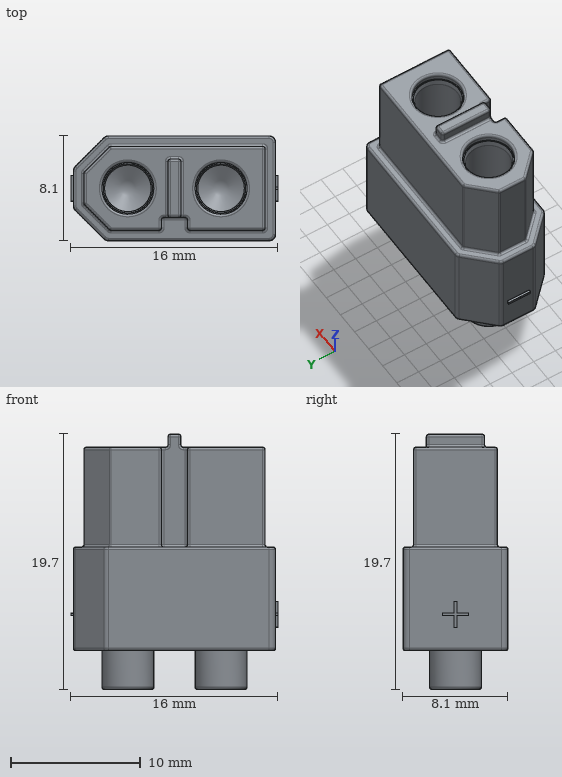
import cadquery as cq
import math


pin_length = 3.0
body_height = 8.0
tower_height = 7.7
key_height = 1.0

body_bottom = pin_length
body_top = body_bottom + body_height
tower_top = body_top + tower_height

body_length = 15.6
body_width = 8.1
body_chamfer = 2.5
body_corner_radius = 0.5
step_width = 0.8

tower_length = body_length - 2 * step_width
tower_width = body_width - 2 * step_width
tower_chamfer = body_chamfer - step_width * (2 - math.sqrt(2))

edge_radius = 0.2

notch_width = 2.0
notch_depth = 0.98
key_width = 1.0
key_front = -tower_width / 2 + notch_depth
key_back = -key_front

contact_spacing = 7.2
pin_diameter = 4.02
pin_embedment = 0.2
socket_diameter = 4.0
sleeve_recess = 0.51
sleeve_mouth_diameter = 3.8
sleeve_bore_diameter = 3.59
sleeve_taper_depth = 0.4
bore_bottom = body_top
drill_point_angle = 130

mark_length = 2.0
mark_stroke = 0.2
mark_relief = 0.2
mark_height = 5.8

contact_points = [(-contact_spacing / 2, 0), (contact_spacing / 2, 0)]


def cut_corner_block(length, width, chamfer, bottom, height):
    """Block with its two -X corners cut at 45 degrees."""
    return (
        cq.Workplane("XY", origin=(0, 0, bottom))
        .rect(length, width)
        .extrude(height)
        .edges("|Z and <X")
        .chamfer(chamfer)
    )


def near(x_min, x_max, y_min, y_max, z):
    """Selector for edges centred inside a thin horizontal slab at height z."""
    slack = 0.02
    return cq.selectors.BoxSelector(
        (x_min - slack, y_min - slack, z - slack),
        (x_max + slack, y_max + slack, z + slack),
    )


def make_body():
    body = cut_corner_block(body_length, body_width, body_chamfer, body_bottom, body_height)
    body = body.edges("|Z").fillet(body_corner_radius)
    return body.faces("<Z or >Z").edges().fillet(edge_radius)


def make_tower():
    """Plug tower with a notch in its -Y wall; the top edges are rounded later with the key."""
    notch = cq.Workplane("XY", origin=(0, -tower_width / 2, body_top)).box(
        notch_width, 2 * notch_depth, tower_height, centered=(True, True, False)
    )
    tower = cut_corner_block(tower_length, tower_width, tower_chamfer, body_top, tower_height).cut(notch)
    return tower.edges("|Z").fillet(edge_radius)


def add_key(tower):
    """Add the rib on top of the tower, flush with the back wall of the notch."""
    rib = (
        cq.Workplane("XY", origin=(0, 0, tower_top))
        .box(key_width, key_back - key_front, key_height, centered=(True, True, False))
        .edges("|Z and >Y")
        .fillet(edge_radius)
    )
    keyed = tower.union(rib)
    half_key = key_width / 2
    foot = near(-half_key, half_key, key_front + edge_radius, key_back, tower_top)
    return keyed.edges(foot).fillet(edge_radius)


def round_tower_top(tower):
    """Round the key's top and, by one edge of its tangent chain, the tower's whole top outline."""
    rim_edge = near(tower_length / 2, tower_length / 2, 0, 0, tower_top)
    return tower.faces(">Z").edges().add(tower.edges(rim_edge)).fillet(edge_radius)


def round_tower_foot(housing):
    """Blend the tower into the shoulder of the body."""
    half_length = tower_length / 2
    half_width = tower_width / 2
    foot = near(-half_length, half_length, -half_width, half_width, body_top)
    return housing.edges(foot).fillet(edge_radius)


def make_pins():
    pins = (
        cq.Workplane("XY")
        .pushPoints(contact_points)
        .circle(pin_diameter / 2)
        .extrude(pin_length + pin_embedment)
    )
    return pins.faces("<Z").edges().fillet(edge_radius)


def make_socket():
    """Revolved cavity: rounded entry, socket bore, tapered sleeve mouth, sleeve bore, drill point."""
    socket_radius = socket_diameter / 2
    mouth_radius = sleeve_mouth_diameter / 2
    bore_radius = sleeve_bore_diameter / 2
    sleeve_top = tower_top - sleeve_recess
    point_depth = bore_radius / math.tan(math.radians(drill_point_angle / 2))
    return (
        cq.Workplane("XZ")
        .moveTo(0, tower_top)
        .lineTo(socket_radius + edge_radius, tower_top)
        .radiusArc((socket_radius, tower_top - edge_radius), -edge_radius)
        .lineTo(socket_radius, sleeve_top)
        .lineTo(mouth_radius, sleeve_top)
        .lineTo(bore_radius, sleeve_top - sleeve_taper_depth)
        .lineTo(bore_radius, bore_bottom)
        .lineTo(0, bore_bottom - point_depth)
        .close()
        .revolve(360, (0, 0, 0), (0, 1, 0))
    )


def make_marks():
    """Minus on the -X end face and plus on the +X end face."""
    depth = 2 * mark_relief

    def bar(side, width, height):
        center = (side * body_length / 2, 0, mark_height)
        return cq.Workplane("XY", origin=center).box(depth, width, height)

    minus = bar(-1, mark_length, mark_stroke)
    plus = bar(1, mark_length, mark_stroke).union(bar(1, mark_stroke, mark_length))
    return minus.union(plus)


tower = round_tower_top(add_key(make_tower()))
housing = round_tower_foot(make_body().union(tower))
result = housing.union(make_pins()).union(make_marks())
for x, y in contact_points:
    result = result.cut(make_socket().translate((x, y, 0)))